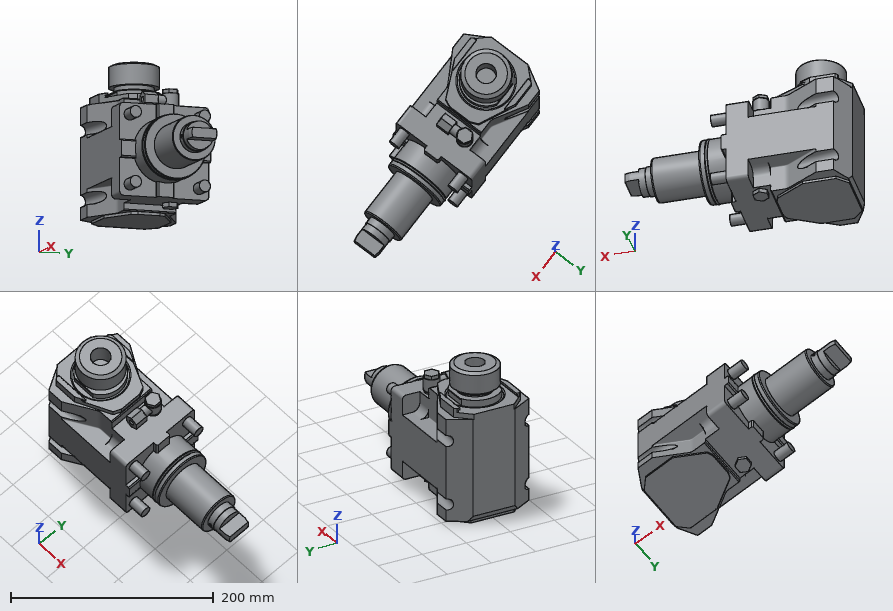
import cadquery as cq
import math


head_half_width = 47.0
head_top = 58.8
head_bottom = -53.8
head_front = 82.5
rear_half_width = 23.7
rear_corner_length = 13.2
taper_start = 31.0
taper_angle = 30.0
neck_half_width = 27.3
taper_blend_radius = 9.5
root_radius = 1.0
front_edge_chamfer = 1.2
rear_chamfer_height = 5.6
rear_chamfer_length = 2.5

arm_half_height = 25.5
block_start = 100.0
block_face = 122.7
block_half_height = 46.5
block_corner_radius = 4.2
corner_blend_radius = 9.0

screw_offset_y = 36.5
screw_offset_z = 35.0
screw_radius = 5.9
screw_end = 139.8
key_half_width = 9.0
key_height = 5.2
key_inner = 30.5
key_chamfer = 1.5

groove_radius = 6.0
groove_angle = 8.0
groove_length = 70.5

spindle_x = 38.0
collar_radius = 26.5
collar_half_flats = 23.0
collar_lip_half_width = 23.7
collar_lip_bottom = 69.8
collar_top = 70.7
spindle_foot_radius = 18.8
spindle_foot_top = 72.8
spindle_neck_radius = 20.0
nut_bottom = 77.0
nut_radius = 25.1
nut_shoulder = 97.5
nut_top = 99.6
nut_top_radius = 21.0
nut_bore_radius = 10.0

cover_top = 64.5
cover_half_width = 37.8
cover_rear_half_width = 22.8
cover_rear_corner = 14.0
cover_taper_start = 40.0
cover_taper_end = 77.0
cover_taper_end_half_width = 20.5
cover_front = 80.5
cover_front_half_width = 12.2
recess_radius = 29.8
recess_floor_radius = 28.5
recess_depth = 1.2
rail_start = 11.8
rail_end = 50.3
rail_height = 4.2
rail_lip_inner = 32.0
rail_web_inner = 33.8
rail_lip_thickness = 2.0

base_thickness = 2.8
base_half_width = 35.2
base_rear = 2.8
base_rear_half_width = 24.5
base_rear_corner = 13.5
base_taper_start = 47.5
base_taper_end = 77.5
base_taper_end_half_width = 17.9
base_front = 80.0
base_front_half_width = 11.8

nozzle_x = 95.0
bolt_y = 17.0
hex_corner_radius = 8.2
banjo_radius = 8.2
banjo_bottom = 48.6
banjo_top = 63.0
bolt_top = 67.0
bolt_foot_radius = 7.5
plug_height = 4.5
nozzle_z = 56.0
nozzle_stem_radius = 5.5
nozzle_hex_back = 1.6
nozzle_hex_front = -12.7
nozzle_bore_radius = 2.8
nozzle_bore_depth = 7.0

flange_radius = 32.5
flange_end = 154.6
seal_groove_start = 145.7
seal_groove_end = 148.8
seal_groove_radius = 31.0
seal_radius = 1.2
seal_center_radius = 31.7
shank_radius = 22.5
end_bevel_length = 1.5
end_bevel_depth = 0.5
shank_end = 206.3
journal_radius = 15.0
journal_end = 213.8
tang_radius = 14.3
tang_start = 221.1
tang_taper_start = 229.8
tang_end = 235.0
tang_half_thickness = 5.0
tang_tip_half_width = 13.2
pin_x = 209.6
pin_radius = 1.6
pin_depth = 1.9


def mirrored_plate(half_outline, bottom, top):
    """Plate symmetric about Y = 0 from the +Y half of its outline."""
    other_half = [(x, -y) for x, y in reversed(half_outline)]
    outline = half_outline + other_half
    return cq.Workplane("XY").workplane(offset=bottom).polyline(outline).close().extrude(top - bottom)


def block(x_range, y_range, z_range):
    """Box between the given limits."""
    corner = (x_range[0], y_range[0], z_range[0])
    size = [high - low for low, high in (x_range, y_range, z_range)]
    return cq.Workplane("XY").box(*size, centered=False).translate(corner)


def rod(start, end, radius, y=0, z=0):
    """Cylinder along X."""
    return cq.Workplane("YZ", origin=(start, y, z)).circle(radius).extrude(end - start)


def upright(bottom, top, radius, x=spindle_x, y=0):
    """Cylinder along Z."""
    return cq.Workplane("XY", origin=(x, y, bottom)).circle(radius).extrude(top - bottom)


def hex_prism(plane, origin, length):
    """Hexagonal prism with two of its flats facing -X and +X."""
    angles = [math.radians(30 + 60 * i) for i in range(6)]
    corners = [(hex_corner_radius * math.cos(a), hex_corner_radius * math.sin(a)) for a in angles]
    return cq.Workplane(plane, origin=origin).polyline(corners).close().extrude(length)


def make_head():
    taper_end = taper_start + (head_half_width - neck_half_width) / math.tan(math.radians(taper_angle))
    tower = mirrored_plate(
        [
            (0, rear_half_width),
            (rear_corner_length, head_half_width),
            (taper_start, head_half_width),
            (taper_end, neck_half_width),
            (head_front, neck_half_width),
        ],
        head_bottom,
        head_top,
    )
    for y in (-neck_half_width, neck_half_width):
        bend = cq.selectors.NearestToPointSelector((taper_end, y, (head_top + head_bottom) / 2))
        tower = tower.edges(bend).fillet(taper_blend_radius)
    tower = tower.faces(">X").edges("|Y").chamfer(front_edge_chamfer)

    arm = mirrored_plate(
        [
            (0, rear_half_width),
            (rear_corner_length, head_half_width),
            (block_start, head_half_width),
        ],
        -arm_half_height,
        arm_half_height,
    )
    rear_chamfer = (
        cq.Workplane("XZ", origin=(0, head_half_width, head_bottom))
        .polyline([(0, 0), (rear_chamfer_length, 0), (0, rear_chamfer_height)])
        .close()
        .extrude(2 * head_half_width)
    )
    head = tower.union(arm)
    for level in (-arm_half_height, arm_half_height):
        root_zone = cq.selectors.BoxSelector(
            (taper_start, root_radius - head_half_width, level - root_radius),
            (head_front - root_radius, head_half_width - root_radius, level + root_radius),
        )
        head = head.edges(root_zone).fillet(root_radius)
    return head.cut(rear_chamfer)


def make_mounting_block():
    neck = block(
        (taper_start, block_start),
        (-neck_half_width, neck_half_width),
        (-block_half_height, block_half_height),
    )
    flange = block(
        (block_start, block_face),
        (-head_half_width, head_half_width),
        (-block_half_height, block_half_height),
    )
    return neck.union(flange.edges("|X").fillet(block_corner_radius))


def make_corner_blend(side, level):
    """Concave blend between the arm and the neck, clearing a screw head."""
    y_range = sorted((side * neck_half_width, side * (neck_half_width + corner_blend_radius)))
    z_range = sorted((level * arm_half_height, level * (arm_half_height + corner_blend_radius)))
    filler = block((head_front, block_start), y_range, z_range)
    center_y = side * (neck_half_width + corner_blend_radius)
    center_z = level * (arm_half_height + corner_blend_radius)
    return filler.cut(rod(head_front, block_start, corner_blend_radius, center_y, center_z))


def make_groove(side, level):
    """U-shaped groove, open to the outside, that runs deeper toward the front."""
    channel = cq.Workplane("YZ").circle(groove_radius).extrude(groove_length)
    opening = block((0, groove_length), (0, 2 * groove_radius), (-groove_radius, groove_radius))
    groove = channel.union(opening).rotate((0, 0, 0), (0, 0, 1), -groove_angle)
    groove = groove.translate((rear_corner_length - groove_radius, head_half_width, level * screw_offset_z))
    return groove if side > 0 else groove.mirror("XZ")


def make_key(outer):
    """Key on the +Z side of the mounting face, reaching out to the given distance from the axis."""
    key = block(
        (block_face, block_face + key_height),
        (-key_half_width, key_half_width),
        (key_inner, outer),
    )
    return key.faces(">X").edges("|Z").chamfer(key_chamfer)


def make_cover():
    outline = [
        (0, cover_rear_half_width),
        (cover_rear_corner, cover_half_width),
        (cover_taper_start, cover_half_width),
        (cover_taper_end, cover_taper_end_half_width),
        (cover_front, cover_front_half_width),
    ]
    cover = mirrored_plate(outline, head_top, cover_top)
    recess = (
        cq.Workplane("XY", origin=(spindle_x, 0, cover_top - recess_depth))
        .circle(recess_floor_radius)
        .workplane(offset=recess_depth)
        .circle(recess_radius)
        .loft()
    )
    lip_bottom = rail_height - rail_lip_thickness
    rail_profile = [
        (rail_web_inner, 0),
        (cover_half_width, 0),
        (cover_half_width, rail_height),
        (rail_lip_inner, rail_height),
        (rail_lip_inner, lip_bottom),
        (rail_web_inner, lip_bottom),
    ]
    rail = cq.Workplane("YZ", origin=(rail_start, 0, cover_top)).polyline(rail_profile).close()
    rail = rail.extrude(rail_end - rail_start)
    rail = rail.intersect(mirrored_plate(outline, cover_top, cover_top + rail_height))
    return cover.cut(recess).union(rail).union(rail.mirror("XZ"))


def make_base():
    return mirrored_plate(
        [
            (base_rear, base_rear_half_width),
            (base_rear_corner, base_half_width),
            (base_taper_start, base_half_width),
            (base_taper_end, base_taper_end_half_width),
            (base_front, base_front_half_width),
        ],
        head_bottom - base_thickness,
        head_bottom,
    )


def make_spindle():
    collar_x = (spindle_x - collar_radius, spindle_x + collar_radius)
    flats = block(collar_x, (-collar_half_flats, collar_half_flats), (head_top, collar_top))
    lip = block(
        collar_x,
        (-collar_lip_half_width, collar_lip_half_width),
        (collar_lip_bottom, collar_top),
    )
    collar = upright(head_top, collar_top, collar_radius).intersect(flats.union(lip))
    profile = [
        (0, collar_top),
        (spindle_foot_radius, collar_top),
        (spindle_foot_radius, spindle_foot_top),
        (spindle_neck_radius, spindle_foot_top),
        (spindle_neck_radius, nut_bottom),
        (nut_radius, nut_bottom),
        (nut_radius, nut_shoulder),
        (nut_top_radius, nut_top),
        (0, nut_top),
    ]
    turned = cq.Workplane("XZ").polyline(profile).close().revolve(360, (0, 0), (0, 1))
    bore = upright(nut_bottom, nut_top, nut_bore_radius)
    return collar.union(turned.translate((spindle_x, 0, 0))).cut(bore)


def make_nozzle():
    foot = upright(block_half_height, banjo_bottom, bolt_foot_radius, nozzle_x, bolt_y)
    banjo = upright(banjo_bottom, banjo_top, banjo_radius, nozzle_x, bolt_y)
    head = hex_prism("XY", (nozzle_x, bolt_y, banjo_top), bolt_top - banjo_top)
    plug = hex_prism("XY", (nozzle_x, bolt_y, -block_half_height - plug_height), plug_height)
    stem = (
        cq.Workplane("XZ", origin=(nozzle_x, bolt_y, nozzle_z))
        .circle(nozzle_stem_radius)
        .extrude(bolt_y - nozzle_hex_back)
    )
    tip = hex_prism("XZ", (nozzle_x, nozzle_hex_back, nozzle_z), nozzle_hex_back - nozzle_hex_front)
    bore = (
        cq.Workplane("XZ", origin=(nozzle_x, nozzle_hex_front + nozzle_bore_depth, nozzle_z))
        .circle(nozzle_bore_radius)
        .extrude(nozzle_bore_depth)
    )
    return foot.union(banjo).union(head).union(plug).union(stem).union(tip).cut(bore)


def make_shank():
    profile = (
        cq.Workplane("XY")
        .moveTo(block_face, 0)
        .lineTo(block_face, flange_radius)
        .lineTo(seal_groove_start, flange_radius)
        .lineTo(seal_groove_start, seal_groove_radius)
        .lineTo(seal_groove_end, seal_groove_radius)
        .lineTo(seal_groove_end, flange_radius)
        .lineTo(flange_end - end_bevel_length, flange_radius)
        .lineTo(flange_end, flange_radius - end_bevel_depth)
        .lineTo(flange_end, shank_radius)
        .lineTo(shank_end - end_bevel_length, shank_radius)
        .lineTo(shank_end, shank_radius - end_bevel_depth)
        .lineTo(shank_end, journal_radius)
        .lineTo(journal_end, journal_radius)
        .lineTo(journal_end, tang_radius)
        .lineTo(tang_taper_start, tang_radius)
        .lineTo(tang_end, tang_tip_half_width)
        .lineTo(tang_end, 0)
        .close()
    )
    seal_x = (seal_groove_start + seal_groove_end) / 2
    seal = cq.Workplane("XY").center(seal_x, seal_center_radius).circle(seal_radius)
    seal = seal.revolve(360, (0, -seal_center_radius), (1, -seal_center_radius))
    shank = profile.revolve(360, (0, 0), (1, 0)).union(seal)
    for level in (-1, 1):
        z_range = sorted((level * tang_half_thickness, level * shank_radius))
        shank = shank.cut(block((tang_start, tang_end), (-shank_radius, shank_radius), z_range))
    pin_hole = (
        cq.Workplane("XZ", origin=(pin_x, pin_depth - journal_radius, 0))
        .circle(pin_radius)
        .extrude(2 * pin_depth)
    )
    return shank.cut(pin_hole)


result = make_head().union(make_mounting_block())
for side in (-1, 1):
    for level in (-1, 1):
        result = result.cut(make_groove(side, level))
        result = result.union(make_corner_blend(side, level))
        screw = rod(block_face, screw_end, screw_radius, side * screw_offset_y, level * screw_offset_z)
        result = result.union(screw)
for turn in range(4):
    key = make_key(head_half_width if turn % 2 else block_half_height)
    result = result.union(key.rotate((0, 0, 0), (1, 0, 0), 90 * turn))
for feature in (make_cover, make_base, make_spindle, make_nozzle, make_shank):
    result = result.union(feature())